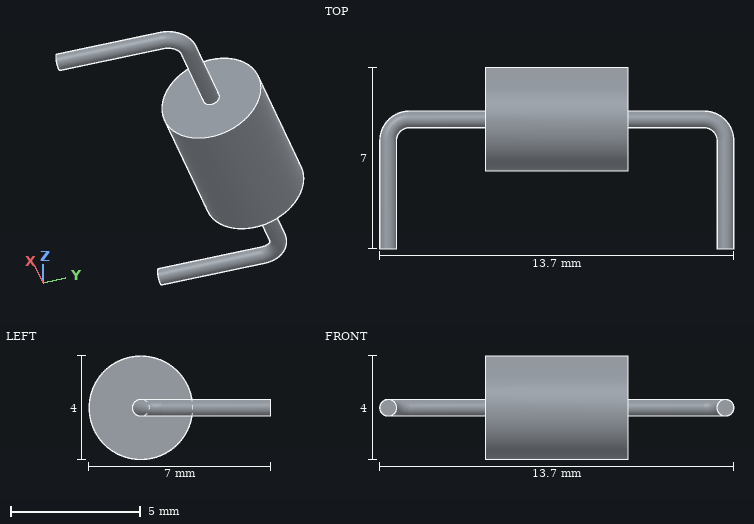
import cadquery as cq
import math

BODY_LENGTH = 5.5
BODY_DIAMETER = 4.0
LEAD_DIAMETER = 0.65
LEAD_PITCH = 13.0
BEND_RADIUS = 0.825
LEG_REACH = 5.0


def make_body():
    """Cylinder centred on the origin, axis along X."""
    return (
        cq.Workplane("YZ", origin=(-BODY_LENGTH / 2, 0, 0))
        .circle(BODY_DIAMETER / 2)
        .extrude(BODY_LENGTH)
    )


def make_lead():
    """Right-hand (+X) lead, running from the body centre to its tip at -Y."""
    leg_x = LEAD_PITCH / 2
    bend_start_x = leg_x - BEND_RADIUS
    bend_mid_offset = BEND_RADIUS * math.sin(math.radians(45))
    bend_mid = (bend_start_x + bend_mid_offset, bend_mid_offset - BEND_RADIUS)
    centreline = (
        cq.Workplane("XY")
        .lineTo(bend_start_x, 0)
        .threePointArc(bend_mid, (leg_x, -BEND_RADIUS))
        .lineTo(leg_x, -LEG_REACH)
    )
    return cq.Workplane("YZ").circle(LEAD_DIAMETER / 2).sweep(centreline)


right_lead = make_lead()
left_lead = right_lead.mirror("YZ")

result = make_body().union(right_lead).union(left_lead)